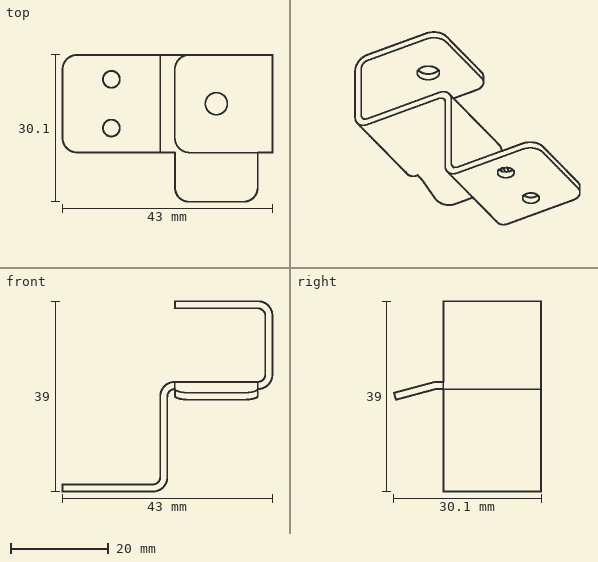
import cadquery as cq
import math

thickness = 1.5
inner_radius = 1.5
outer_radius = inner_radius + thickness
corner_radius = 3.0

length = 43.0
height = 39.0
width = 20.0
lower_web_face = 21.5
shelf_top = 22.5
shelf_bottom = shelf_top - thickness
shelf_start = lower_web_face - thickness + outer_radius
shelf_end = length - outer_radius

tab_reach = 10.1
tab_flat = 1.35
tab_angle = math.radians(15)

base_hole_diameter = 3.4
base_hole_x = 10.0
base_hole_spacing = 9.98
top_hole_diameter = 4.5
top_hole_x = (shelf_start + shelf_end) / 2


def make_strip():
    """Z-shaped strip with a hooked top, extruded across its width."""
    lower_web_back = lower_web_face - thickness
    upper_web_inside = length - thickness
    top_underside = height - thickness
    profile = (
        cq.Workplane("XZ")
        .moveTo(0, 0)
        .lineTo(lower_web_face - outer_radius, 0)
        .tangentArcPoint((lower_web_face, outer_radius), relative=False)
        .lineTo(lower_web_face, shelf_bottom - inner_radius)
        .tangentArcPoint((shelf_start, shelf_bottom), relative=False)
        .lineTo(shelf_end, shelf_bottom)
        .tangentArcPoint((length, shelf_bottom + outer_radius), relative=False)
        .lineTo(length, height - outer_radius)
        .tangentArcPoint((shelf_end, height), relative=False)
        .lineTo(shelf_start, height)
        .lineTo(shelf_start, top_underside)
        .lineTo(shelf_end, top_underside)
        .tangentArcPoint((upper_web_inside, top_underside - inner_radius), relative=False)
        .lineTo(upper_web_inside, shelf_top + inner_radius)
        .tangentArcPoint((shelf_end, shelf_top), relative=False)
        .lineTo(shelf_start, shelf_top)
        .tangentArcPoint((lower_web_back, shelf_top - outer_radius), relative=False)
        .lineTo(lower_web_back, thickness + inner_radius)
        .tangentArcPoint((lower_web_face - outer_radius, thickness), relative=False)
        .lineTo(0, thickness)
        .close()
    )
    strip = profile.extrude(-width)
    strip = strip.faces("<X").edges("|Z").fillet(corner_radius)
    top_end = cq.selectors.BoxSelector(
        (shelf_start - thickness, -thickness, top_underside - thickness),
        (shelf_start + thickness, width + thickness, height + thickness),
    )
    return strip.edges("|Z").edges(top_end).fillet(corner_radius)


def make_tab():
    """Tab that leaves the shelf flat, then bends down and outward."""
    bend_z = shelf_top - outer_radius

    def bend_point(radius, angle):
        return (-tab_flat - radius * math.sin(angle), bend_z + radius * math.cos(angle))

    upper_bend_end = bend_point(outer_radius, tab_angle)
    lower_bend_end = bend_point(inner_radius, tab_angle)
    tip_drop = (tab_reach + upper_bend_end[0]) * math.tan(tab_angle)
    tip_top = (-tab_reach, upper_bend_end[1] - tip_drop)
    tip_bottom = (
        tip_top[0] + thickness * math.sin(tab_angle),
        tip_top[1] - thickness * math.cos(tab_angle),
    )
    tab = (
        cq.Workplane("YZ", origin=(shelf_start, 0, 0))
        .moveTo(0, shelf_top)
        .lineTo(-tab_flat, shelf_top)
        .threePointArc(bend_point(outer_radius, tab_angle / 2), upper_bend_end)
        .lineTo(*tip_top)
        .lineTo(*tip_bottom)
        .lineTo(*lower_bend_end)
        .threePointArc(bend_point(inner_radius, tab_angle / 2), (-tab_flat, shelf_bottom))
        .lineTo(0, shelf_bottom)
        .close()
        .extrude(shelf_end - shelf_start)
    )
    return tab.faces("<Y").edges("not |X").fillet(corner_radius)


def make_hole(x, y, bottom, diameter):
    """Cutter through one sheet thickness."""
    return cq.Workplane("XY", origin=(x, y, bottom)).circle(diameter / 2).extrude(thickness)


result = make_strip().union(make_tab())
for side in (-1, 1):
    base_hole_y = width / 2 + side * base_hole_spacing / 2
    result = result.cut(make_hole(base_hole_x, base_hole_y, 0, base_hole_diameter))
result = result.cut(make_hole(top_hole_x, width / 2, height - thickness, top_hole_diameter))